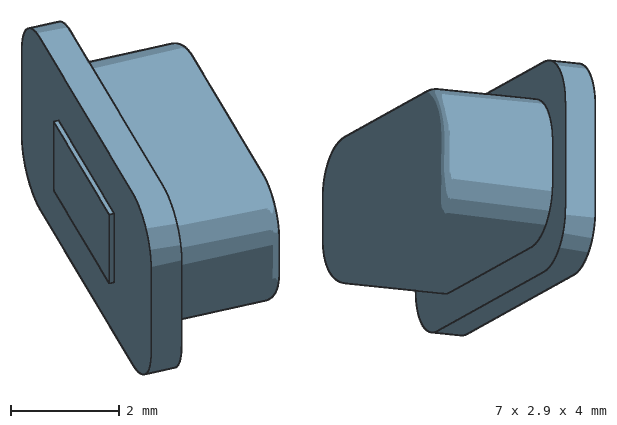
import cadquery as cq

flange_length = 7.0
flange_height = 4.0
flange_thickness = 0.6

flange_overhang = 0.6
body_length = flange_length - 2 * flange_overhang
body_height = flange_height - 2 * flange_overhang
body_depth = 2.2
body_edge_fillet = 0.2

corner_radius = 1.0

pad_length = 3.0
pad_height = 1.6
pad_thickness = 0.1


def block(length, height, front_y, depth):
    """Block centred on the Y axis, running from front_y toward +Y."""
    return cq.Workplane("XY").box(length, depth, height).translate((0, front_y + depth / 2, 0))


flange = block(flange_length, flange_height, 0, flange_thickness).edges("|Y").fillet(corner_radius)

body = block(body_length, body_height, flange_thickness, body_depth)
body = body.edges("|Y").fillet(corner_radius)
body = body.faces(">Y").edges().fillet(body_edge_fillet)

pad = block(pad_length, pad_height, -pad_thickness, pad_thickness)

result = flange.union(body).union(pad)